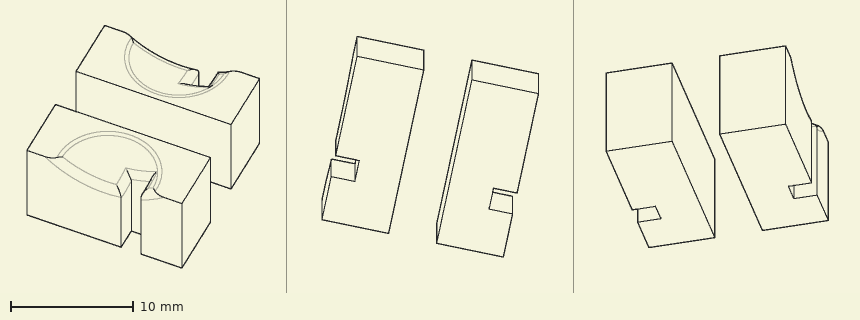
import cadquery as cq

length = 14.0
overall_width = 15.2
height = 7.9
block_width = 5.6

dish_radius = 7.7
dish_depth = 1.28
dish_inset = 0.65
edge_radius = 0.67

slot_width = 1.78
slot_depth = 1.98
slot_start = 1.52

outer_face_y = overall_width / 2


def make_block(side):
    """Dished block on the +Y (side = 1) or -Y (side = -1) half."""
    block = cq.Workplane("XY").box(length, block_width, height, centered=(True, True, False))
    block = block.translate((0, side * (outer_face_y - block_width / 2), 0))

    slot = cq.Workplane("XY").box(slot_width, slot_depth, height, centered=(True, True, False))
    slot = slot.translate((slot_start + slot_width / 2, side * (outer_face_y - slot_depth / 2), 0))

    dish_center = (0, side * (outer_face_y - dish_inset), height - dish_depth + dish_radius)
    dish = cq.Workplane("XY").sphere(dish_radius).rotate((0, 0, 0), (0, 0, 1), side * 90)
    dish = dish.translate(dish_center)

    block = block.cut(slot).cut(dish)
    return block.faces("%SPHERE").edges().fillet(edge_radius)


blocks = [make_block(side) for side in (-1, 1)]

result = cq.Compound.makeCompound([block.val() for block in blocks])